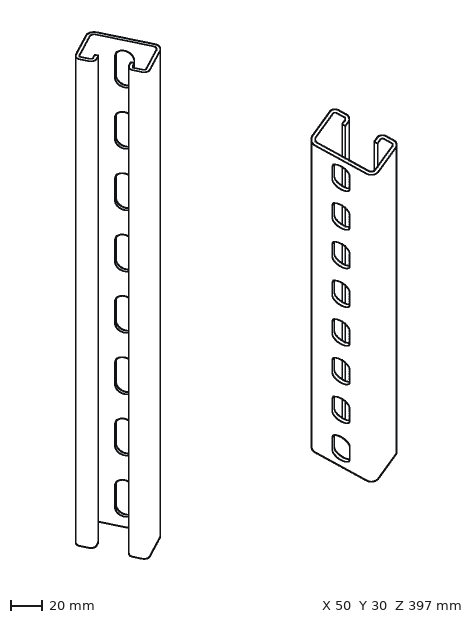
import cadquery as cq

length = 397.0
width = 50.0
depth = 30.0

thickness = 2.5
bend_radius = 4.0
inner_radius = bend_radius - thickness
web_bend_radius = 5.5
web_inner_radius = web_bend_radius - thickness
opening = 22.0
lip_height = 7.5

slot_count = 8
slot_pitch = 50.0
slot_length = 29.8
slot_width = 13.0


def vertical_bar(x_min, x_max, y_min, y_max):
    """Full-length bar along Z, centred on Z = 0."""
    size_x = x_max - x_min
    size_y = y_max - y_min
    return cq.Workplane("XY").box(size_x, size_y, length).translate(
        ((x_min + x_max) / 2, (y_min + y_max) / 2, 0)
    )


def lipped_channel():
    """C-shaped rail with inward flanges and lips turned back towards the web."""
    half_width = width / 2
    half_opening = opening / 2
    lip_inner = half_opening + thickness

    outside = vertical_bar(-half_width, half_width, 0, depth)
    outside = outside.edges("|Z and >Y").fillet(web_bend_radius).edges("|Z and <Y").fillet(bend_radius)
    cavity = vertical_bar(
        -half_width + thickness, half_width - thickness, thickness, depth - thickness
    )
    cavity = cavity.edges("|Z and >Y").fillet(web_inner_radius).edges("|Z and <Y").fillet(inner_radius)
    gap = vertical_bar(-half_opening, half_opening, 0, thickness)
    channel = outside.cut(cavity).cut(gap)

    for side in (-1, 1):
        x_min, x_max = sorted((side * half_opening, side * lip_inner))
        lip = vertical_bar(x_min, x_max, 0, lip_height)
        channel = channel.union(lip)
        outer_bend = cq.selectors.NearestToPointSelector((side * half_opening, 0, 0))
        channel = channel.edges(outer_bend).fillet(bend_radius)
        inner_bend = cq.selectors.NearestToPointSelector((side * lip_inner, thickness, 0))
        channel = channel.edges(inner_bend).fillet(inner_radius)
    return channel


def web_slots():
    """Evenly pitched slots, long along Z, reaching through the web only."""
    return (
        cq.Workplane("XZ", origin=(0, depth, 0))
        .rarray(4, slot_pitch, 1, slot_count)
        .slot2D(slot_length, slot_width, 90)
        .extrude(thickness)
    )


result = lipped_channel().cut(web_slots())